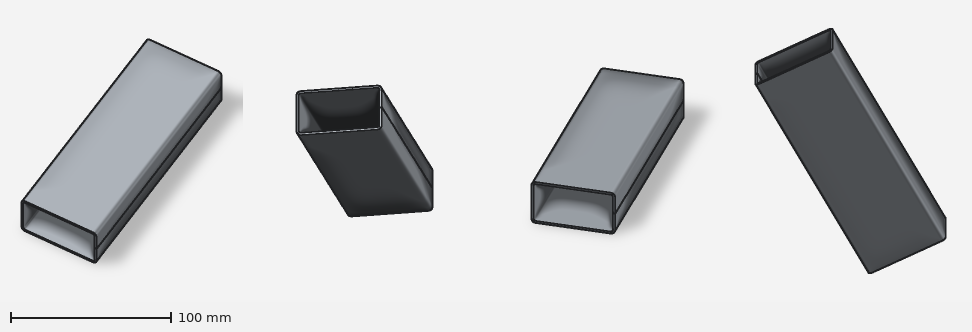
import cadquery as cq

width = 54.5
length = 152.4
height = 29.3
wall = 1.5
inner_bend_radius = 1.5
outer_bend_radius = inner_bend_radius + wall
seam_gap = 0.2


def rounded_bar(bar_width, bar_height, corner_radius):
    """Solid bar along Y, centred on the origin, with rounded long edges."""
    return cq.Workplane("XY").box(bar_width, length, bar_height).edges("|Y").fillet(corner_radius)


outer = rounded_bar(width, height, outer_bend_radius)
cavity = rounded_bar(width - 2 * wall, height - 2 * wall, inner_bend_radius)
tube = outer.cut(cavity)

seam = (
    cq.Workplane("XY")
    .box(2 * wall, length, seam_gap)
    .translate((width / 2 - wall / 2, 0, 0))
)

result = tube.cut(seam)